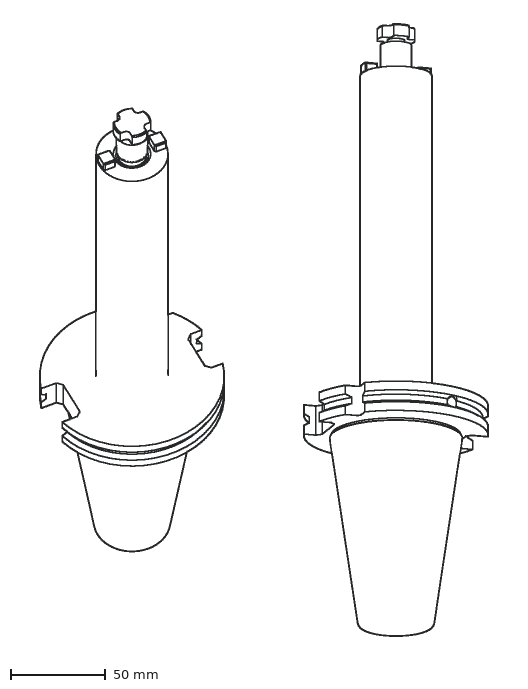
import cadquery as cq
import math

TOTAL_HEIGHT = 327.8
GAUGE_Z = 102.5
LAND_TOP_Z = 103.5
FLANGE_BOTTOM_Z = 105.0
FLANGE_TOP_Z = 121.0
BODY_TOP_Z = 302.0

TAPER_RATIO = 7 / 24
TAPER_TOP_RADIUS = 69.8 / 2
TAPER_BOTTOM_RADIUS = TAPER_TOP_RADIUS - GAUGE_Z * TAPER_RATIO / 2
TAPER_END_FILLET = 3.0
NECK_RADIUS = 68.5 / 2

FLANGE_RADIUS = 97.5 / 2
GROOVE_Z = (FLANGE_BOTTOM_Z + FLANGE_TOP_Z) / 2
GROOVE_FLOOR_RADIUS = 46.0
GROOVE_FLOOR_WIDTH = 3.3
GROOVE_FLANK_ANGLE = 30

SLOT_WIDTH = 25.5
SLOT_FLOOR_PLUS_Y = 37.7
SLOT_FLOOR_MINUS_Y = 35.5
SLOT_CHAMFER = 2.5
NOTCH_OFFSET = 30.0
NOTCH_FILLET = 2.0

HOLE_RADIUS = 3.3
HOLE_POINT_DEPTH = HOLE_RADIUS
HOLE_ANGLE = 201.5

BODY_RADIUS = 19.0
BODY_FILLET = 1.0

PILOT_RADIUS = 8.2
PILOT_TOP_Z = 318.5
RELIEF_RADIUS = 7.5
RELIEF_HEIGHT = 2.5
RECESS_RADIUS = 9.8
RECESS_DEPTH = 1.3

KEY_WIDTH = 8.2
KEY_HEIGHT = 5.0
KEY_INNER_Y = 11.5
KEY_OUTER_Y = 18.5
KEY_CHAMFER = 0.5

SCREW_NECK_RADIUS = 4.5
HEAD_RADIUS = 20.0 / 2
HEAD_HEIGHT = 6.5
HEAD_ARM_WIDTH = 8.5
HEAD_FILLET = 2.3
HEAD_CHAMFER = 0.5


def cylinder(radius, bottom_z, top_z):
    return cq.Workplane("XY").workplane(offset=bottom_z).circle(radius).extrude(top_z - bottom_z)


def revolve_about_z(outline):
    return outline.close().revolve(360, (0, 0, 0), (0, 1, 0))


def block(x_range, y_range, z_range):
    lows, highs = zip(x_range, y_range, z_range)
    sizes = [high - low for low, high in zip(lows, highs)]
    return cq.Workplane("XY").box(*sizes, centered=False).translate(lows)


def make_taper():
    cone = revolve_about_z(
        cq.Workplane("XZ")
        .polyline([
            (0, 0),
            (TAPER_BOTTOM_RADIUS, 0),
            (TAPER_TOP_RADIUS, GAUGE_Z),
            (TAPER_TOP_RADIUS, LAND_TOP_Z),
            (0, LAND_TOP_Z),
        ])
    )
    cone = cone.faces("<Z").edges().fillet(TAPER_END_FILLET)
    return cone.union(cylinder(NECK_RADIUS, LAND_TOP_Z, FLANGE_BOTTOM_Z))


def make_groove():
    """Ring with sloped flanks, removed all round the rim."""
    half_floor = GROOVE_FLOOR_WIDTH / 2
    depth = FLANGE_RADIUS - GROOVE_FLOOR_RADIUS
    half_mouth = half_floor + depth * math.tan(math.radians(GROOVE_FLANK_ANGLE))
    return revolve_about_z(
        cq.Workplane("XZ")
        .polyline([
            (GROOVE_FLOOR_RADIUS, GROOVE_Z - half_floor),
            (FLANGE_RADIUS, GROOVE_Z - half_mouth),
            (FLANGE_RADIUS, GROOVE_Z + half_mouth),
            (GROOVE_FLOOR_RADIUS, GROOVE_Z + half_floor),
        ])
    )


def make_slot(floor_y):
    """Drive slot open at the rim; the sign of floor_y picks the side."""
    y_range = sorted([floor_y, math.copysign(FLANGE_RADIUS, floor_y)])
    x_range = (-SLOT_WIDTH / 2, SLOT_WIDTH / 2)
    slot = block(x_range, y_range, (FLANGE_BOTTOM_Z, FLANGE_TOP_Z))
    floor_side = "<Y" if floor_y > 0 else ">Y"
    return slot.faces(floor_side).edges("|Z").chamfer(SLOT_CHAMFER)


def make_notch():
    """Square corner removed from the rim at -X, +Y."""
    notch = block(
        (-FLANGE_RADIUS, -NOTCH_OFFSET),
        (NOTCH_OFFSET, FLANGE_RADIUS),
        (FLANGE_BOTTOM_Z, FLANGE_TOP_Z),
    )
    return notch.faces(">X").edges("<Y").fillet(NOTCH_FILLET)


def make_marking_hole():
    """Radial bore from the rim to the groove floor, ending in a conical point."""
    drill = (
        cq.Workplane("XZ")
        .polyline([
            (GROOVE_FLOOR_RADIUS - HOLE_POINT_DEPTH, GROOVE_Z),
            (GROOVE_FLOOR_RADIUS, GROOVE_Z + HOLE_RADIUS),
            (FLANGE_RADIUS, GROOVE_Z + HOLE_RADIUS),
            (FLANGE_RADIUS, GROOVE_Z),
        ])
        .close()
        .revolve(360, (0, GROOVE_Z, 0), (1, GROOVE_Z, 0))
    )
    return drill.rotate((0, 0, 0), (0, 0, 1), HOLE_ANGLE)


def make_flange():
    flange = cylinder(FLANGE_RADIUS, FLANGE_BOTTOM_Z, FLANGE_TOP_Z)
    flange = flange.cut(make_groove())
    for floor_y in (SLOT_FLOOR_PLUS_Y, -SLOT_FLOOR_MINUS_Y):
        flange = flange.cut(make_slot(floor_y))
    return flange.cut(make_notch()).cut(make_marking_hole())


def make_body():
    """Cylinder whose root flares into the flange with a small concave fillet."""
    root_radius = BODY_RADIUS + BODY_FILLET
    return revolve_about_z(
        cq.Workplane("XZ")
        .moveTo(0, FLANGE_TOP_Z)
        .lineTo(root_radius, FLANGE_TOP_Z)
        .radiusArc((BODY_RADIUS, FLANGE_TOP_Z + BODY_FILLET), BODY_FILLET)
        .lineTo(BODY_RADIUS, BODY_TOP_Z)
        .lineTo(0, BODY_TOP_Z)
    )


def make_recess():
    """Ring with a 45 degree outer wall, sunk into the body top around the relief."""
    return revolve_about_z(
        cq.Workplane("XZ")
        .polyline([
            (RELIEF_RADIUS, BODY_TOP_Z),
            (RECESS_RADIUS, BODY_TOP_Z),
            (RECESS_RADIUS - RECESS_DEPTH, BODY_TOP_Z - RECESS_DEPTH),
            (RELIEF_RADIUS, BODY_TOP_Z - RECESS_DEPTH),
        ])
    )


def make_keys():
    x_range = (-KEY_WIDTH / 2, KEY_WIDTH / 2)
    z_range = (BODY_TOP_Z, BODY_TOP_Z + KEY_HEIGHT)
    key = block(x_range, (KEY_INNER_Y, KEY_OUTER_Y), z_range)
    key = key.edges("|Z or (|Y and >Z)").chamfer(KEY_CHAMFER)
    return key.union(key.mirror("XZ"))


def make_pilot():
    relief_top_z = BODY_TOP_Z + RELIEF_HEIGHT
    relief = cylinder(RELIEF_RADIUS, BODY_TOP_Z, relief_top_z)
    return relief.union(cylinder(PILOT_RADIUS, relief_top_z, PILOT_TOP_Z))


def make_screw():
    """Screw neck and a cross-shaped head cut from a round one."""
    head_bottom_z = TOTAL_HEIGHT - HEAD_HEIGHT
    arm_plane = cq.Workplane("XY").workplane(offset=head_bottom_z)
    arm_length = 2 * HEAD_RADIUS
    cross = arm_plane.rect(arm_length, HEAD_ARM_WIDTH).extrude(HEAD_HEIGHT)
    cross = cross.union(arm_plane.rect(HEAD_ARM_WIDTH, arm_length).extrude(HEAD_HEIGHT))
    inner_corners = cq.selectors.BoxSelector(
        (-HEAD_ARM_WIDTH, -HEAD_ARM_WIDTH, head_bottom_z),
        (HEAD_ARM_WIDTH, HEAD_ARM_WIDTH, TOTAL_HEIGHT),
    )
    cross = cross.edges("|Z").edges(inner_corners).fillet(HEAD_FILLET)
    rim = cylinder(HEAD_RADIUS, head_bottom_z, TOTAL_HEIGHT).faces(">Z").chamfer(HEAD_CHAMFER)
    head = cross.intersect(rim)
    return head.union(cylinder(SCREW_NECK_RADIUS, PILOT_TOP_Z, head_bottom_z))


result = make_taper()
for piece in (make_flange(), make_body().cut(make_recess()), make_keys(), make_pilot(), make_screw()):
    result = result.union(piece)